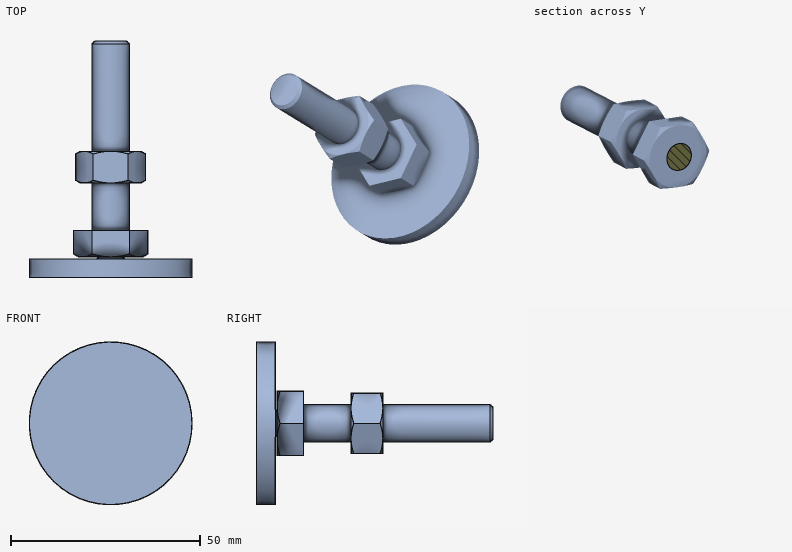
import cadquery as cq
import math

TOTAL_LENGTH = 62.5

PLATE_DIAMETER = 43.0
PLATE_THICKNESS = 5.0

NECK_BASE_DIAMETER = 7.5
NECK_TOP_DIAMETER = 6.0
HEX_START = 5.5
HEX_HEIGHT = 7.0
HEX_ACROSS_FLATS = 17.0
SHANK_DIAMETER = 10.0
TIP_CHAMFER = 0.8

NUT_START = 25.0
NUT_HEIGHT = 8.4
NUT_ACROSS_FLATS = 16.0

CORNER_CHAMFER_ANGLE = 30.0


def section_at(y):
    """Sketch plane at height y, facing +Y, with its local x along +X."""
    return cq.Workplane(cq.Plane(origin=(0, y, 0), xDir=(1, 0, 0), normal=(0, 1, 0)))


def hexagon(start, height, across_flats, chamfer_far_end):
    """Hexagonal prism with corners on the X axis, trimmed by a cone at one or both ends."""
    corner_radius = across_flats / math.sqrt(3)
    face_radius = across_flats / 2
    drop = (corner_radius - face_radius) * math.tan(math.radians(CORNER_CHAMFER_ANGLE))
    end = start + height

    profile = [(0, start), (face_radius, start), (corner_radius, start + drop)]
    if chamfer_far_end:
        profile += [(corner_radius, end - drop), (face_radius, end)]
    else:
        profile += [(corner_radius, end)]
    profile += [(0, end)]
    envelope = cq.Workplane("XY").polyline(profile).close().revolve(360, (0, 0), (0, 1))

    prism = section_at(start).polygon(6, 2 * corner_radius).extrude(height)
    return prism.intersect(envelope)


def make_plate():
    return section_at(0).circle(PLATE_DIAMETER / 2).extrude(PLATE_THICKNESS)


def make_stud():
    neck = (
        section_at(PLATE_THICKNESS)
        .circle(NECK_BASE_DIAMETER / 2)
        .workplane(offset=HEX_START - PLATE_THICKNESS)
        .circle(NECK_TOP_DIAMETER / 2)
        .loft()
    )
    head = hexagon(HEX_START, HEX_HEIGHT, HEX_ACROSS_FLATS, chamfer_far_end=False)
    shank_start = HEX_START + HEX_HEIGHT
    shank = (
        section_at(shank_start)
        .circle(SHANK_DIAMETER / 2)
        .extrude(TOTAL_LENGTH - shank_start)
        .faces(">Y")
        .chamfer(TIP_CHAMFER)
    )
    return neck.union(head).union(shank)


def make_nut():
    blank = hexagon(NUT_START, NUT_HEIGHT, NUT_ACROSS_FLATS, chamfer_far_end=True)
    bore = section_at(NUT_START).circle(SHANK_DIAMETER / 2).extrude(NUT_HEIGHT)
    return blank.cut(bore)


plate = make_plate()
stud = make_stud()
nut = make_nut()

result = cq.Compound.makeCompound([plate.val(), stud.val(), nut.val()])